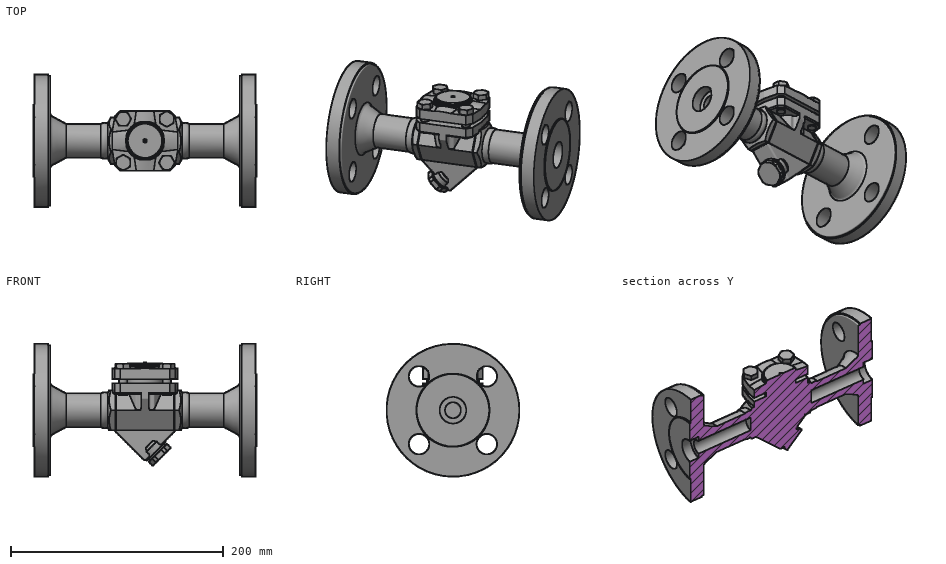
import cadquery as cq
import math

face_to_face = 210.0
half_length = face_to_face / 2
flange_radius = 125.0 / 2
raised_face_radius = 34.0
raised_face_height = 1.0
raised_face_root = 0.5
flange_back_x = 88.8
flange_step_x = 91.0
flange_step_radius = 61.3
flange_edge_fillet = 0.8
hub_radius = 45.8 / 2
hub_root_x = 86.9
hub_root_radius = 25.1
hub_end_x = 74.2
pipe_radius = 32.0 / 2
socket_radius = 25.0 / 2
socket_depth = 10.0
bore_radius = 15.0 / 2
bolt_circle_radius = 90.0 / 2
flange_hole_radius = 19.0 / 2
flange_hole_count = 4
first_hole_angle = 45

collar_radius = 34.0 / 2
collar_start_x = 41.4

hex_flats = 38.0
hex_corner = hex_flats / math.sqrt(3)
hex_half_length = 35.1
nut_chamfer_radius = 16.5
nut_chamfer_angle = 30
nut_chamfer_slope = math.tan(math.radians(nut_chamfer_angle))
groove_x = 27.6
groove_width = 0.9
groove_depth = 0.25

plate_half_y = 28.2
plate_half_x = 30.9
plate_end_half_y = 8.4
plate_shoulder_x = 28.2
plate_corner = 5.1
body_plate_bottom = 15.2
body_plate_chamfer = 1.3
body_plate_top = 25.4
cover_bottom = 29.3
cover_top = 38.8
neck_radius = 34.0 / 2

cap_radius = 34.0 / 2
cap_top_radius = 32.0 / 2
cap_edge_z = 43.1
cap_top_z = 44.3
cap_foot_radius = 36.5 / 2
cap_foot_z = 40.7
nub_radius = 1.7
nub_tip_radius = 0.7
nub_height = 0.9
ramp_inner_reach = 16.0
ramp_inner_z = 41.3
ramp_inner_half_width = 10.0
ramp_outer_z = 39.5
ramp_outer_half_width = 8.2

bolt_spacing = 20.5
bolt_radius = 8.0 / 2
bolt_bottom = 14.0
bolt_head_flats = 13.0
bolt_head_top = 43.8
bolt_head_chamfer = 0.6
bolt_head_turn = 30

column_half_x = 8.6
column_front_y = 21.6
column_corner_fillet = 1.5
column_shoulder_x = 15.0
column_shoulder_y = 13.1
pad_half_width = 3.6
pad_fillet = 2.2
pad_nose_fillet = 1.0

pocket_half_x = 28.8
pocket_half_y = 10.5
pocket_edge_fillet = 1.8

plug_axis_offset = 14.0
seat_start = 25.5
seat_start_radius = 11.5
seat_full = 28.5
seat_radius = 25.0 / 2
seat_end = 34.7
gasket_radius = 21.0 / 2
plug_head_start = 36.8
plug_head_end = 42.1
plug_head_flats = 22.6
plug_head_corner_radius = 12.1
plug_head_chamfer = 0.4
plug_head_turn = 90


def cylinder_z(radius, bottom, top):
    return cq.Workplane("XY").workplane(offset=bottom).circle(radius).extrude(top - bottom)


def hexagon_prism(workplane, flats, length, angle):
    """Hexagonal prism with its first corner turned by the given angle."""
    corner_diameter = 2 * flats / math.sqrt(3)
    return workplane.transformed(rotate=(0, 0, angle)).polygon(6, corner_diameter).extrude(length)


def pipe_end():
    """Flange, hub, pipe and weld collar on the -X side."""
    flange_front_x = half_length - raised_face_height
    flange = (
        cq.Workplane("YZ")
        .workplane(offset=-flange_front_x)
        .circle(flange_radius)
        .extrude(flange_front_x - flange_step_x)
    )
    step = (
        cq.Workplane("YZ")
        .workplane(offset=-flange_step_x)
        .circle(flange_step_radius)
        .extrude(flange_step_x - flange_back_x)
        .faces(">X").edges().fillet(flange_edge_fillet)
    )
    neck = (
        cq.Workplane("XY")
        .moveTo(-flange_front_x, 0)
        .lineTo(-half_length, 0)
        .lineTo(-half_length, raised_face_radius)
        .lineTo(-flange_front_x - raised_face_root, raised_face_radius)
        .lineTo(-flange_front_x, raised_face_radius + raised_face_root)
        .close()
        .moveTo(-hex_half_length, 0)
        .lineTo(-hex_half_length, nut_chamfer_radius)
        .threePointArc(
            (-(collar_start_x + hex_half_length) / 2, collar_radius), (-collar_start_x, pipe_radius)
        )
        .lineTo(-hub_end_x, pipe_radius)
        .lineTo(-hub_root_x, hub_radius)
        .tangentArcPoint((-flange_back_x, hub_root_radius), relative=False)
        .lineTo(-flange_back_x, 0)
        .close()
        .revolve(360, (0, 0, 0), (1, 0, 0))
    )
    holes = (
        cq.Workplane("YZ")
        .workplane(offset=-half_length)
        .polarArray(bolt_circle_radius, first_hole_angle, 360, flange_hole_count)
        .circle(flange_hole_radius)
        .extrude(half_length - hub_end_x)
    )
    socket = cq.Workplane("YZ").workplane(offset=-half_length).circle(socket_radius).extrude(socket_depth)
    bore = (
        cq.Workplane("YZ")
        .workplane(offset=-half_length)
        .circle(bore_radius)
        .extrude(half_length - hex_half_length)
    )
    return flange.union(step).union(neck).cut(holes).cut(socket).cut(bore)


def hex_body():
    """Hexagonal bar with nut-style end chamfers and a shallow groove near each end."""
    bar = hexagon_prism(
        cq.Workplane("YZ").workplane(offset=-hex_half_length), hex_flats, 2 * hex_half_length, 0
    )
    cone_peak_radius = nut_chamfer_radius + hex_half_length / nut_chamfer_slope
    envelope = (
        cq.Workplane("XY")
        .polyline([
            (-hex_half_length, 0),
            (-hex_half_length, nut_chamfer_radius),
            (0, cone_peak_radius),
            (hex_half_length, nut_chamfer_radius),
            (hex_half_length, 0),
        ])
        .close()
        .revolve(360, (0, 0, 0), (1, 0, 0))
    )
    bar = bar.intersect(envelope)
    for center_x in (-groove_x, groove_x):
        start = cq.Workplane("YZ").workplane(offset=center_x - groove_width / 2)
        ring = start.circle(2 * hex_flats).extrude(groove_width)
        core = hexagon_prism(start, hex_flats - 2 * groove_depth, groove_width, 0)
        bar = bar.cut(ring.cut(core))
    return bar


def plate(bottom, top):
    """Flange outline: straight sides on Y, slightly pointed sides on X, cut corners."""
    corner_x = plate_shoulder_x - plate_corner
    corner_y = plate_half_y - plate_corner
    quarter = [
        (plate_half_x, plate_end_half_y),
        (plate_shoulder_x, corner_y),
        (corner_x, plate_half_y),
    ]
    right_side = [(x, -y) for x, y in reversed(quarter)] + quarter
    left_side = [(-x, -y) for x, y in right_side]
    return (
        cq.Workplane("XY")
        .workplane(offset=bottom)
        .polyline(right_side + left_side)
        .close()
        .extrude(top - bottom)
    )


def body_flange():
    lower = plate(body_plate_bottom, body_plate_top).faces("<Z").edges().chamfer(body_plate_chamfer)
    return lower.union(cylinder_z(neck_radius, body_plate_top, cover_bottom))


def ramp(reach, angle):
    """Crowned ramp that falls from the cap to one side of the cover."""
    return (
        cq.Workplane("YZ")
        .workplane(offset=ramp_inner_reach)
        .moveTo(-ramp_inner_half_width, cover_top)
        .threePointArc((0, ramp_inner_z), (ramp_inner_half_width, cover_top))
        .close()
        .workplane(offset=reach - ramp_inner_reach)
        .moveTo(-ramp_outer_half_width, cover_top)
        .threePointArc((0, ramp_outer_z), (ramp_outer_half_width, cover_top))
        .close()
        .loft(ruled=True)
        .rotate((0, 0, 0), (0, 0, 1), angle)
    )


def cover():
    body = plate(cover_bottom, cover_top)
    for angle in (0, 180):
        body = body.union(ramp(plate_half_x, angle))
    for angle in (90, 270):
        body = body.union(ramp(plate_half_y, angle))
    cap = (
        cq.Workplane("XZ")
        .polyline([
            (0, cover_bottom),
            (cap_foot_radius, cover_bottom),
            (cap_foot_radius, cap_foot_z),
            (cap_radius, cap_foot_z + cap_foot_radius - cap_radius),
            (cap_radius, cap_edge_z),
            (cap_top_radius, cap_top_z),
            (nub_radius, cap_top_z),
            (nub_tip_radius, cap_top_z + nub_height),
            (0, cap_top_z + nub_height),
        ])
        .close()
        .revolve(360, (0, 0, 0), (0, 1, 0))
    )
    return body.union(cap)


def cover_bolt(x, y, angle):
    shank = cylinder_z(bolt_radius, bolt_bottom, cover_top)
    head_height = bolt_head_top - cover_top
    head = hexagon_prism(
        cq.Workplane("XY").workplane(offset=cover_top), bolt_head_flats, head_height, angle
    )
    corner_radius = bolt_head_flats / math.sqrt(3)
    envelope = cylinder_z(corner_radius, cover_top, bolt_head_top)
    envelope = envelope.faces(">Z").edges().chamfer(bolt_head_chamfer)
    return shank.union(head.intersect(envelope)).translate((x, y, 0))


def front_column():
    """Upright column and pad on the -Y side, trimmed along the lower hexagon face."""
    column = (
        cq.Workplane("XY")
        .polyline([
            (-column_shoulder_x, 0),
            (-column_shoulder_x, -column_shoulder_y),
            (-column_half_x, -column_front_y),
            (-pad_half_width, -column_front_y),
            (-pad_half_width, -plate_half_y),
            (pad_half_width, -plate_half_y),
            (pad_half_width, -column_front_y),
            (column_half_x, -column_front_y),
            (column_shoulder_x, -column_shoulder_y),
            (column_shoulder_x, 0),
        ])
        .close()
        .extrude(body_plate_top)
    )
    middle_z = body_plate_top / 2
    for corner_x, radius in ((pad_half_width, pad_fillet), (column_half_x, column_corner_fillet)):
        for x in (-corner_x, corner_x):
            corner = cq.selectors.NearestToPointSelector((x, -column_front_y, middle_z))
            column = column.edges("|Z").edges(corner).fillet(radius)
    outer_z = (plate_half_y - hex_corner) * math.sqrt(3)
    face_extension = (
        cq.Workplane("YZ")
        .workplane(offset=-column_shoulder_x)
        .polyline([
            (0, 0),
            (-hex_corner, 0),
            (-plate_half_y, outer_z),
            (-plate_half_y, body_plate_top),
            (0, body_plate_top),
        ])
        .close()
        .extrude(2 * column_shoulder_x)
    )
    nose = cq.selectors.NearestToPointSelector((0, -plate_half_y, outer_z))
    face_extension = face_extension.edges("|X").edges(nose).fillet(pad_nose_fillet)
    return column.intersect(face_extension)


def strainer_pocket():
    """Wedge below the body, pointing down with 45 degree sides."""
    top_z = -hex_flats / 2
    wedge = (
        cq.Workplane("XZ")
        .workplane(offset=-pocket_half_y)
        .polyline([(-pocket_half_x, top_z), (pocket_half_x, top_z), (0, top_z - pocket_half_x)])
        .close()
        .extrude(2 * pocket_half_y)
    )
    return wedge.edges("not(>Z)").fillet(pocket_edge_fillet)


def strainer_plug():
    axis_plane = cq.Plane(
        origin=(-plug_axis_offset, 0, -plug_axis_offset), xDir=(0, 1, 0), normal=(1, 0, -1)
    )
    seat = (
        cq.Workplane("XZ")
        .polyline([
            (0, seat_start),
            (seat_start_radius, seat_start),
            (seat_radius, seat_full),
            (seat_radius, seat_end),
            (gasket_radius, seat_end),
            (gasket_radius, plug_head_start),
            (0, plug_head_start),
        ])
        .close()
        .revolve(360, (0, 0, 0), (0, 1, 0))
    )
    head = hexagon_prism(
        cq.Workplane("XY").workplane(offset=plug_head_start),
        plug_head_flats,
        plug_head_end - plug_head_start,
        plug_head_turn,
    )
    envelope = cylinder_z(plug_head_corner_radius, plug_head_start, plug_head_end)
    envelope = envelope.faces(">Z").edges().chamfer(plug_head_chamfer)
    plug = seat.union(head.intersect(envelope))
    return cq.Workplane(plug.val().moved(cq.Location(axis_plane)))


result = hex_body().union(pipe_end()).union(pipe_end().mirror("YZ"))
result = result.union(body_flange()).union(cover())
result = result.union(front_column()).union(front_column().mirror("XZ"))
result = result.union(strainer_pocket()).union(strainer_plug())
for side_x in (-1, 1):
    for side_y in (-1, 1):
        head_angle = 0 if side_x * side_y < 0 else bolt_head_turn
        result = result.union(cover_bolt(side_x * bolt_spacing, side_y * bolt_spacing, head_angle))